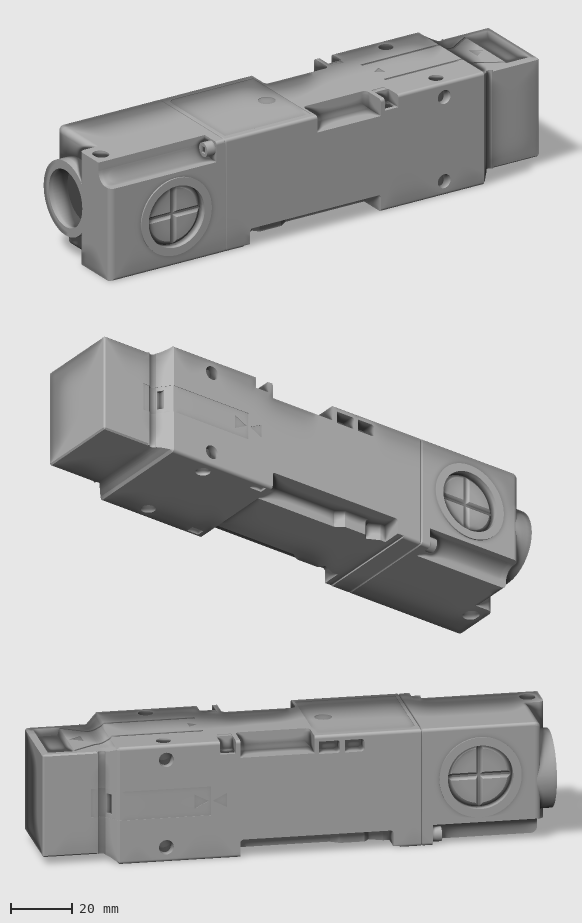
import cadquery as cq
length = 169.9
section = 40.0
half = section / 2
edge_radius = 1.0
tip_y = length / 2
cable_y = -length / 2

head_seam_y = 30.0
housing_seam_y = -40.1
shoulder_y = 61.2
nose_base_y = 67.0
seam_bevel = 0.3

overrun = 3.4

nose_width = 30.0
nose_height = 35.0
nose_edge_chamfer = 0.5
shoulder_chamfer = 0.8
shoulder_half = half - shoulder_chamfer
neck_curve_x = ((nose_width / 2, 66.6), (14.3, 65.4), (15.5, 64.2))
neck_curve_z = ((nose_height / 2, 65.8), (17.7, 64.2), (18.2, 62.9))
mount_hole_diameter = 5.0
mount_hole_offset = 15.0
mount_hole_y = 44.9
window_top_width, window_top_length = 25.3, 8.8
window_floor_width, window_floor_length = 21.0, 6.6
window_center_y = 78.3
window_depth = 1.9
window_front_y = window_center_y - window_top_length / 2
trim_width = 1.2
trim_depth = 0.3
trim_x = 7.0
trim_bend_y = 66.0
trim_window_x = 12.0
side_panel_height = 9.9
side_panel_end_y = 69.0
latch_slot_y, latch_slot_length = 63.2, 1.5
latch_slot_height = 6.8
latch_slot_floor = 15.1

mark_depth = 0.2
nose_arrow_tip_y, nose_arrow_base_y, nose_arrow_width = 73.0, 69.0, 5.1
top_arrow_tip_y, top_arrow_base_y, top_arrow_width = 30.8, 33.6, 4.0
side_arrow_gap, side_arrow_length, side_arrow_width = 0.7, 4.8, 5.0

pocket_start_y = 20.2
top_pocket_end_y = -4.5
top_pocket_floor = 14.1
pocket_inner_x = 11.0
pocket_foot_radius = 1.5
bottom_pocket_end_y = -30.5
bottom_pocket_roof = -14.0
bottom_pocket_radius = 1.0
rib_depth = 2.0
rib_root_y, rib_start_y, rib_end_y = -11.2, -14.1, -22.5
wedge_start_y, wedge_end_y = -24.1, -28.5
underside_relief = 0.6
underside_relief_end_y = -33.0
notch_start_y, notch_end_y = 27.0, 21.7
notch_inner_x = 14.0
notch_floor = 15.6
lug_hole_x = 17.2
lug_hole_y = 24.1
lug_hole_width, lug_hole_length = 2.7, 4.5
slit_x, slit_width, slit_length = 12.7, 1.7, 4.8
label_width = 34.3
label_start_y, label_end_y = -5.3, -38.5
label_corner = 1.7
lamp_y = -11.2
lamp_diameter = 5.8
side_window_top, side_window_bottom = 18.0, 13.8
side_window_depth = 5.1
side_window_radius = 1.0
side_windows = ((-9.3, 7.1), (-17.7, 6.5))

relief_floor_y = -79.7
relief_wall_x = 1.5
relief_wall_radius = 1.9
relief_edge_radius = 2.0
gland_x = -6.8
gland_outer_diameter = 26.2
gland_bore_diameter = 20.0
gland_bore_depth = 7.3
housing_hole_x, housing_hole_y = 7.5, -80.5
housing_hole_length, housing_hole_width = 6.0, 5.1
channel_start_y = -43.7
channel_axis = 17.0
channel_radius = 4.0
screw_diameter = 5.0
screw_height = 3.2
socket_size = 2.4
socket_depth = 1.0

plug_diameter = 27.4
plug_y = -59.5
plug_z = 2.5
plug_stand_out = 0.5
plug_thickness = 5.1
plug_cup_diameter = 21.7
plug_cup_depth = 3.2
island_drop = 2.0
island_top_diameter = 18.7
cross_top, cross_floor = 2.4, 0.7
cross_depth = 1.0


def block(x0, x1, y0, y1, z0, z1):
    """Box given by its two corners along each axis."""
    corner_box = cq.Workplane("XY").box(abs(x1 - x0), abs(y1 - y0), abs(z1 - z0))
    return corner_box.translate(((x0 + x1) / 2, (y0 + y1) / 2, (z0 + z1) / 2))


def bar(y0, y1, width, height):
    """Box centred on the Y axis."""
    return block(-width / 2, width / 2, y0, y1, -height / 2, height / 2)


def both_sides(shape):
    """A shape on the +X side together with its mirror image."""
    return shape.union(shape.mirror("YZ"))


def arrow(tip, base, width, level):
    """Triangular mark on a plane parallel to XY, pointing along Y and cut to a given level."""
    points = [(0, tip), (-width / 2, base), (width / 2, base)]
    return cq.Workplane("XY", origin=(0, 0, level)).polyline(points).close().extrude(overrun)


def side_arrow(tip, base, level):
    """Triangular mark on the -X side, cut to a given distance from the axis."""
    return arrow(tip, base, side_arrow_width, level).rotate((0, 0, 0), (0, 1, 0), -90)


def neck_prism(curve):
    """Symmetric outline of the neck in (distance, Y), extruded through the section."""
    start, dip, end = curve
    side = (
        cq.Workplane("XY", origin=(0, 0, -half))
        .moveTo(0, shoulder_y)
        .lineTo(shoulder_half, shoulder_y)
        .lineTo(*end)
        .threePointArc(dip, start)
        .lineTo(start[0], nose_base_y)
        .lineTo(0, nose_base_y)
        .close()
        .extrude(section)
    )
    return both_sides(side)


def build_neck():
    """Hollow neck, curved both across X and across Z."""
    across_z = neck_prism(neck_curve_z).rotate((0, 0, 0), (0, 1, 0), 90)
    return neck_prism(neck_curve_x).intersect(across_z)


def skin_cutter(curve, depth, end_y, width):
    """Strip under the surface of head, neck and nose; +X is outward, width is along Z."""
    start, dip, end = [(distance - depth, y) for distance, y in curve]
    outside = half + overrun
    return (
        cq.Workplane("XY", origin=(0, 0, -width / 2))
        .moveTo(outside, head_seam_y)
        .lineTo(half - depth, head_seam_y)
        .lineTo(half - depth, shoulder_y - shoulder_chamfer)
        .lineTo(shoulder_half - depth, shoulder_y)
        .lineTo(*end)
        .threePointArc(dip, start)
        .lineTo(start[0], end_y)
        .lineTo(outside, end_y)
        .close()
        .extrude(width)
    )


def trim_grooves():
    """Two grooves along the top of the head that spread out towards the nose window."""
    strip = skin_cutter(neck_curve_z, trim_depth, trim_bend_y, trim_width)
    straight = strip.rotate((0, 0, 0), (0, 1, 0), -90).translate((trim_x, 0, 0))
    slanted = (
        cq.Workplane("XY", origin=(0, 0, nose_height / 2 - trim_depth))
        .polyline([
            (trim_x - trim_width / 2, trim_bend_y),
            (trim_x + trim_width / 2, trim_bend_y),
            (trim_window_x + trim_width / 2, window_front_y),
            (trim_window_x - trim_width / 2, window_front_y),
        ]).close()
        .extrude(overrun)
    )
    return both_sides(straight.union(slanted))


def side_panel():
    """Shallow panel along the -X side of the head."""
    return skin_cutter(neck_curve_x, mark_depth, side_panel_end_y, side_panel_height).mirror("YZ")


def nose_window():
    """Rectangular recess with sloping walls in the top of the nose."""
    return (
        cq.Workplane("XY", origin=(0, window_center_y, nose_height / 2 - window_depth))
        .rect(window_floor_width, window_floor_length)
        .workplane(offset=window_depth)
        .rect(window_top_width, window_top_length)
        .loft(ruled=True, combine=True)
    )


def mount_holes():
    """Two holes down through the head and two across it."""
    spots = [(-mount_hole_offset, mount_hole_y), (mount_hole_offset, mount_hole_y)]
    down = cq.Workplane("XY", origin=(0, 0, -half)).pushPoints(spots)
    down = down.circle(mount_hole_diameter / 2).extrude(section)
    across = down.rotate((0, 0, 0), (0, 1, 0), 90)
    return down.union(across)


def build_head():
    nose = bar(nose_base_y, tip_y, nose_width, nose_height)
    nose = nose.edges("|Y or >Y").chamfer(nose_edge_chamfer)
    main = bar(head_seam_y, shoulder_y, section, section).edges("|Y").fillet(edge_radius)
    main = main.faces(">Y").chamfer(shoulder_chamfer)
    head = nose.union(build_neck()).union(main)
    latch_slot = block(
        -half, -latch_slot_floor,
        latch_slot_y - latch_slot_length / 2, latch_slot_y + latch_slot_length / 2,
        -latch_slot_height / 2, latch_slot_height / 2,
    )
    nose_arrow = arrow(
        nose_arrow_tip_y, nose_arrow_base_y, nose_arrow_width, nose_height / 2 - mark_depth,
    )
    seam_arrow = arrow(top_arrow_tip_y, top_arrow_base_y, top_arrow_width, half - mark_depth)
    tip = head_seam_y + side_arrow_gap
    panel_arrow = side_arrow(tip, tip + side_arrow_length, half - 2 * mark_depth)
    cutters = (
        trim_grooves(), side_panel(), nose_window(), mount_holes(), latch_slot,
        nose_arrow, seam_arrow, panel_arrow,
    )
    for cutter in cutters:
        head = head.cut(cutter)
    return head


def top_pockets():
    """Open pockets along both top edges, rounded at the inner foot."""
    outside = half + overrun
    pocket = block(pocket_inner_x, outside, top_pocket_end_y, pocket_start_y, top_pocket_floor, outside)
    return both_sides(pocket.edges("<X and (not >Z)").fillet(pocket_foot_radius))


def bottom_pockets():
    """Open pockets along both bottom edges, with a rib and a wedge on the inner wall."""
    rib_x = pocket_inner_x + rib_depth
    outline = [
        (half + overrun, pocket_start_y),
        (pocket_inner_x, pocket_start_y),
        (pocket_inner_x, rib_root_y),
        (rib_x, rib_start_y),
        (rib_x, rib_end_y),
        (pocket_inner_x, wedge_start_y),
        (rib_x, wedge_end_y),
        (rib_x, bottom_pocket_end_y),
        (half + overrun, bottom_pocket_end_y),
    ]
    pocket = cq.Workplane("XY", origin=(0, 0, -half - overrun)).polyline(outline).close()
    pocket = pocket.extrude(bottom_pocket_roof + half + overrun)
    return both_sides(pocket.faces(">Z").edges("not >X").fillet(bottom_pocket_radius))


def lug_notches():
    """Notches in the top edges, each with a slot down through the body."""
    notch = block(notch_inner_x, half + overrun, notch_end_y, notch_start_y, notch_floor, half + overrun)
    slot = cq.Workplane("XY").box(lug_hole_width, lug_hole_length, section + 2 * overrun)
    slot = slot.translate((lug_hole_x, lug_hole_y, 0))
    return both_sides(notch.union(slot))


def slits():
    """Shallow slits beside the lug notches."""
    slit = cq.Workplane("XY").box(slit_width, slit_length, 2 * mark_depth)
    return both_sides(slit.translate((slit_x, lug_hole_y, half)))


def label_recess():
    """Shallow label field with one cut corner, around a round lamp window."""
    side = label_width / 2
    field = (
        cq.Workplane("XY", origin=(0, 0, half - mark_depth))
        .polyline([
            (-side, label_start_y),
            (side, label_start_y),
            (side, label_end_y),
            (label_corner - side, label_end_y),
            (-side, label_end_y + label_corner),
        ]).close()
        .extrude(overrun)
    )
    lamp = cq.Workplane("XY", origin=(0, lamp_y, half - 2 * mark_depth))
    return field.union(lamp.circle(lamp_diameter / 2).extrude(overrun))


def side_window_recesses():
    """Two small windows sunk into the -X side."""
    recesses = cq.Workplane("XY")
    for center_y, window_length in side_windows:
        window = block(
            -half - overrun, side_window_depth - half,
            center_y - window_length / 2, center_y + window_length / 2,
            side_window_bottom, side_window_top,
        )
        recesses = recesses.add(window.edges("|X and <Y").fillet(side_window_radius))
    return recesses.combine()


def build_body():
    body = bar(housing_seam_y, head_seam_y, section, section).edges("|Y").fillet(edge_radius)
    body = body.faces("<Y").chamfer(seam_bevel)
    relief = block(
        -half, half, underside_relief_end_y, pocket_start_y, -half - overrun, underside_relief - half,
    )
    tip = head_seam_y - side_arrow_gap
    seam_arrow = side_arrow(tip, tip - side_arrow_length, half - mark_depth)
    cutters = (
        top_pockets(), bottom_pockets(), lug_notches(), slits(),
        label_recess(), side_window_recesses(), relief, seam_arrow,
    )
    for cutter in cutters:
        body = body.cut(cutter)
    return body


def cable_end_block():
    """Housing block with the sunk cable end and its rounded edges."""
    low = bar(relief_floor_y, housing_seam_y, section, section).edges("|Y").fillet(edge_radius)
    low = low.faces(">Y").chamfer(seam_bevel)
    low = low.faces("<Y").edges("not >X").fillet(relief_edge_radius)
    high = block(relief_wall_x, half, cable_y, channel_start_y, -half, half)
    high = high.edges("|Z and <Y").fillet(relief_wall_radius)
    envelope = bar(cable_y, housing_seam_y, section, section).edges("|Y").fillet(edge_radius)
    high = high.intersect(envelope)
    return low.union(high)


def gland_cylinder(diameter, y0, y1):
    """Cylinder along Y on the axis of the cable gland."""
    return cq.Workplane("XZ", origin=(gland_x, y1, 0)).circle(diameter / 2).extrude(y1 - y0)


def screw_channel():
    """Corner channel at +X +Z, open to the top and to the side."""
    run = channel_start_y - cable_y
    plane = cq.Workplane("XZ", origin=(channel_axis, channel_start_y, channel_axis))
    channel = plane.circle(channel_radius).extrude(run)
    low = channel_axis - channel_radius
    channel = channel.union(block(low, half + overrun, cable_y, channel_start_y, channel_axis, half + overrun))
    return channel.union(block(channel_axis, half + overrun, cable_y, channel_start_y, low, half + overrun))


def screw_head():
    """Screw head with a square socket at the inner end of the channel."""
    plane = cq.Workplane("XZ", origin=(channel_axis, channel_start_y, channel_axis))
    head = plane.circle(screw_diameter / 2).extrude(screw_height)
    return head.faces("<Y").workplane().rect(socket_size, socket_size).cutBlind(-socket_depth)


def opposite_corner(shape):
    """The same shape turned half way round the Y axis."""
    return shape.rotate((0, 0, 0), (0, 1, 0), 180)


def plug_blank(diameter, outer_x, inner_x):
    """Cylinder along X at the place of the -X plug."""
    plane = cq.Workplane("YZ", origin=(outer_x, plug_y, plug_z))
    return plane.circle(diameter / 2).extrude(inner_x - outer_x)


plug_outer_x = -half - plug_stand_out
plug_inner_x = plug_outer_x + plug_thickness


def build_housing():
    housing = cable_end_block()
    collar_root_y = relief_floor_y + relief_edge_radius
    housing = housing.union(gland_cylinder(gland_outer_diameter, cable_y, collar_root_y))
    housing = housing.cut(gland_cylinder(gland_bore_diameter, cable_y, cable_y + gland_bore_depth))
    slot = cq.Workplane("XY", origin=(housing_hole_x, housing_hole_y, -half))
    housing = housing.cut(slot.slot2D(housing_hole_length, housing_hole_width).extrude(section))
    corner_channel = screw_channel()
    corner_screw = screw_head()
    plug_seat = plug_blank(plug_diameter, plug_outer_x, plug_inner_x)
    for cutter in (corner_channel, plug_seat):
        housing = housing.cut(cutter).cut(opposite_corner(cutter))
    return housing.union(corner_screw).union(opposite_corner(corner_screw))


def cross_slot(island_x):
    """V-sided cross cut into the island top at a given X."""
    profile = [
        (island_x, -cross_top / 2),
        (island_x, cross_top / 2),
        (island_x + cross_depth, cross_floor / 2),
        (island_x + cross_depth, -cross_floor / 2),
    ]
    upright = cq.Workplane("XY").polyline(profile).close().extrude(plug_cup_diameter / 2, both=True)
    level = upright.rotate((0, 0, 0), (1, 0, 0), 90)
    return upright.union(level).translate((0, plug_y, plug_z))


def build_plug():
    """Plug with a cup, a tapered island in it and a cross slot in the island."""
    plug = plug_blank(plug_diameter, plug_outer_x, plug_inner_x)
    cup_floor_x = plug_outer_x + plug_cup_depth
    plug = plug.cut(plug_blank(plug_cup_diameter, plug_outer_x, cup_floor_x))
    island_x = plug_outer_x + island_drop
    island_height = plug_cup_depth - island_drop
    island = (
        cq.Workplane("YZ", origin=(island_x, plug_y, plug_z))
        .circle(island_top_diameter / 2)
        .workplane(offset=island_height)
        .circle(plug_cup_diameter / 2)
        .loft(combine=True)
    )
    return plug.union(island).cut(cross_slot(island_x))


head = build_head()
body = build_body()
housing = build_housing()
plug = build_plug()
plugs = [plug.rotate((0, 0, 0), (0, 1, 0), angle) for angle in (0, 180)]

result = cq.Compound.makeCompound(
    [head.val(), body.val(), housing.val(), *[copy.val() for copy in plugs]]
)